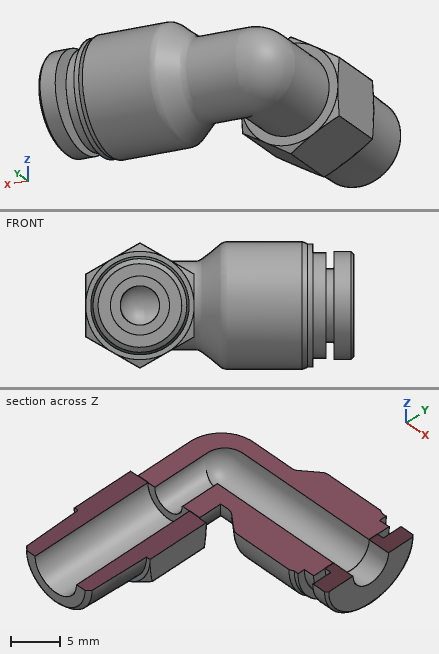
import cadquery as cq
import math


total_width = 27.2
total_length = 30.0

arm_diameter = 9.0
socket_diameter = 13.0
step_diameter = 12.55
collar_diameter = 10.75
cone_start_x = 6.0
cone_end_x = 8.5
cone_fillet = 1.0
socket_bevel_x = 16.47
step_start_x = 17.0
step_end_x = 17.55
collar_end_x = 18.9
tube_bore = 5.0
stud_bore = 4.0

hex_flats = 11.0
hex_start = 7.5
hex_length = 8.0
hex_bevel = 0.3
thread_root_diameter = 10.0
thread_tip_diameter = 9.5
thread_chamfer = 0.5
thread_bore = 6.0

neck_diameter = 7.5
flange_start_x = 19.68
flange_major = 12.55
flange_minor = 11.0
flange_chamfer = 0.3
neck_fillet = 0.1

hex_corners = hex_flats / math.cos(math.radians(30))
hex_end = hex_start + hex_length
thread_end = total_length - socket_diameter / 2
ring_end_x = total_width - hex_flats / 2


def turned_x(points):
    """Revolve (x, radius) points around the X axis."""
    return cq.Workplane("XY").polyline(points).close().revolve(360, (0, 0), (1, 0))


def turned_y(points):
    """Revolve (radius, distance along -Y) points around the Y axis."""
    outline = [(radius, -distance) for radius, distance in points]
    return cq.Workplane("XY").polyline(outline).close().revolve(360, (0, 0), (0, 1))


def rod_x(diameter, start, end):
    """Cylinder along the X axis."""
    return cq.Workplane("YZ").workplane(offset=start).circle(diameter / 2).extrude(end - start)


def rod_y(diameter, start, end):
    """Cylinder along -Y, between two distances from the X axis."""
    return cq.Workplane("XZ").workplane(offset=start).circle(diameter / 2).extrude(end - start)


def make_socket():
    """Straight arm flaring into the stepped tube socket."""
    arm_radius = arm_diameter / 2
    socket_radius = socket_diameter / 2
    flared = turned_x([
        (0, 0),
        (0, arm_radius),
        (cone_start_x, arm_radius),
        (cone_end_x, socket_radius),
        (socket_bevel_x, socket_radius),
        (step_start_x, step_diameter / 2),
        (step_end_x, step_diameter / 2),
        (step_end_x, 0),
    ])
    margin = 0.3
    cone_edges = cq.selectors.BoxSelector(
        (cone_start_x - margin, -socket_diameter, -socket_diameter),
        (cone_end_x + margin, socket_diameter, socket_diameter),
        boundingbox=True,
    )
    flared = flared.edges("%CIRCLE").edges(cone_edges).fillet(cone_fillet)
    return flared.union(rod_x(collar_diameter, step_end_x, collar_end_x))


def make_elbow():
    """Two arms joined by a ball corner, with a round-ended tube bore."""
    corner = cq.Workplane("XY").sphere(arm_diameter / 2)
    stud_arm = rod_y(arm_diameter, 0, hex_start)
    elbow = make_socket().union(stud_arm).union(corner)

    bore_ball_x = (tube_bore - stud_bore) / 2
    bore_ball = cq.Workplane("XY").sphere(tube_bore / 2).translate((bore_ball_x, 0, 0))
    elbow = elbow.cut(rod_y(stud_bore, 0, hex_start))
    elbow = elbow.cut(rod_x(tube_bore, bore_ball_x, collar_end_x))
    return elbow.cut(bore_ball)


def make_stud():
    """Bevelled hexagon with a tapered thread blank, bored right through."""
    hexagon = (
        cq.Workplane("XZ").workplane(offset=hex_start)
        .transformed(rotate=(0, 0, 90))
        .polygon(6, hex_corners)
        .extrude(hex_length)
    )
    bevel_envelope = turned_y([
        (0, hex_start),
        (hex_flats / 2, hex_start),
        (hex_corners / 2, hex_start + hex_bevel),
        (hex_corners / 2, hex_end - hex_bevel),
        (hex_flats / 2, hex_end),
        (0, hex_end),
    ])
    thread = turned_y([
        (0, hex_end),
        (thread_root_diameter / 2, hex_end),
        (thread_tip_diameter / 2, thread_end - thread_chamfer),
        (thread_tip_diameter / 2 - thread_chamfer, thread_end),
        (0, thread_end),
    ])
    stud = hexagon.intersect(bevel_envelope).union(thread)
    return stud.cut(rod_y(thread_bore, hex_start, thread_end))


def make_release_ring():
    """Oval push flange on a round neck, bored for the tube."""
    flange = (
        cq.Workplane("YZ").workplane(offset=flange_start_x)
        .ellipse(flange_major / 2, flange_minor / 2)
        .extrude(ring_end_x - flange_start_x)
        .faces(">X").edges().chamfer(flange_chamfer)
    )
    ring = flange.union(rod_x(neck_diameter, collar_end_x, flange_start_x))
    ring = ring.edges(cq.selectors.NearestToPointSelector((flange_start_x, 0, 0))).fillet(neck_fillet)
    return ring.cut(rod_x(tube_bore, collar_end_x, ring_end_x))


elbow = make_elbow()
stud = make_stud()
release_ring = make_release_ring()

result = cq.Compound.makeCompound([elbow.val(), stud.val(), release_ring.val()])